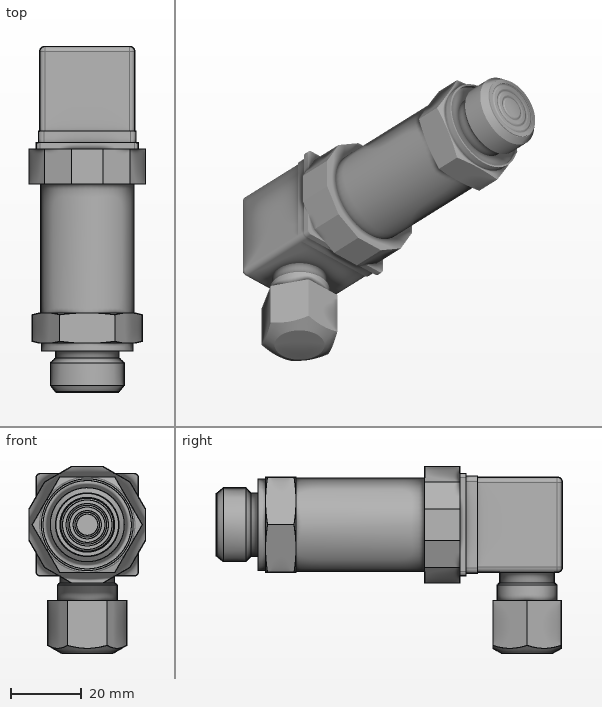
import cadquery as cq
import math


tip_dia = 18.0
tip_rim_dia = 17.75
tip_rim_length = 0.3
thread_dia = 20.95
thread_chamfer_end = 2.1
thread_end = 8.4
undercut_dia = 18.0
undercut_start = 9.85
collar_start = 11.8
collar_dia = 26.0
collar_recess_dia = 25.0
collar_recess_depth = 1.0
diaphragm_dia = 15.5
corrugation_width = 1.0
corrugation_depth = 0.25
corrugation_mid_dias = (7.0, 11.0, 15.0)

hex_start = 14.0
hex_end = 22.6
hex_sides = 6
hex_flats = 27.0
hex_chamfer_angle = 15.0
body_dia = 26.5

nut_start = 59.0
nut_end = 69.0
nut_flats = 33.0
nut_sides = 12

flange_end = 70.75
flange_size = 29.0
flange_corner = 1.2
lid_end = 74.0
lid_size = 27.6
housing_end = 98.0
housing_size = 27.0
housing_fillet = 1.5

gland_y = 88.0
gland_neck_dia = 15.5
gland_ring_dia = 17.0
gland_ring_top = -16.5
gland_ring_chamfer = 0.6
gland_nut_top = -21.4
gland_bottom = -36.5
gland_nut_flats = 19.4
gland_tip_dia = 14.2
gland_chamfer_angle = 30.0


def across_corners(flats, sides):
    return flats / math.cos(math.pi / sides)


def turned(profile):
    """Solid of revolution about Y from (radius, y) points."""
    return cq.Workplane("XY").polyline(profile).close().revolve(360, (0, 0), (0, 1))


def square_block(size, start, end):
    """Square block centred on the axis between two Y positions."""
    return (
        cq.Workplane("XZ", origin=(0, start, 0))
        .rect(size, size)
        .extrude(start - end)
    )


def tip_and_body():
    return turned([
        (0, 0),
        (tip_rim_dia / 2, 0),
        (tip_rim_dia / 2, tip_rim_length),
        (tip_dia / 2, tip_rim_length),
        (thread_dia / 2, thread_chamfer_end),
        (thread_dia / 2, thread_end),
        (undercut_dia / 2, undercut_start),
        (undercut_dia / 2, collar_start + collar_recess_depth),
        (collar_recess_dia / 2, collar_start + collar_recess_depth),
        (collar_recess_dia / 2, collar_start),
        (collar_dia / 2, collar_start),
        (collar_dia / 2, hex_start),
        (body_dia / 2, hex_start),
        (body_dia / 2, nut_start),
        (0, nut_start),
    ])


def corrugation(mid_dia):
    """V-shaped ring that cuts one diaphragm groove, limited to the diaphragm."""
    mid = mid_dia / 2
    inner = mid - corrugation_width / 2
    outer = mid + corrugation_width / 2
    ring = turned([(inner, 0), (outer, 0), (mid, corrugation_depth)])
    diaphragm = turned([
        (0, 0),
        (diaphragm_dia / 2, 0),
        (diaphragm_dia / 2, corrugation_depth),
        (0, corrugation_depth),
    ])
    return ring.intersect(diaphragm)


def wrench_hex():
    corners = across_corners(hex_flats, hex_sides)
    chamfer = (corners - hex_flats) / 2 * math.tan(math.radians(hex_chamfer_angle))
    prism = (
        cq.Workplane("XZ", origin=(0, hex_start, 0))
        .polygon(hex_sides, corners)
        .extrude(hex_start - hex_end)
    )
    envelope = turned([
        (0, hex_start),
        (hex_flats / 2, hex_start),
        (corners / 2, hex_start + chamfer),
        (corners / 2, hex_end - chamfer),
        (hex_flats / 2, hex_end),
        (0, hex_end),
    ])
    return prism.intersect(envelope)


def clamping_nut():
    return (
        cq.Workplane("XZ", origin=(0, nut_start, 0))
        .transformed(rotate=(0, 0, 180 / nut_sides))
        .polygon(nut_sides, across_corners(nut_flats, nut_sides))
        .extrude(nut_start - nut_end)
    )


def plug():
    flange = square_block(flange_size, nut_end, flange_end).edges("|Y").fillet(flange_corner)
    lid = square_block(lid_size, flange_end, lid_end).edges("|Y").fillet(housing_fillet)
    housing = (
        square_block(housing_size, lid_end, housing_end)
        .edges("|Y or >Y")
        .fillet(housing_fillet)
    )
    return flange.union(lid).union(housing)


def cylinder_down(dia, top, bottom):
    """Vertical cylinder on the gland axis."""
    return cq.Workplane("XY", origin=(0, gland_y, bottom)).circle(dia / 2).extrude(top - bottom)


def cable_gland():
    neck = cylinder_down(gland_neck_dia, 0, gland_ring_top)
    ring = (
        cylinder_down(gland_ring_dia, gland_ring_top, gland_nut_top)
        .faces(">Z")
        .chamfer(gland_ring_chamfer)
    )
    corners = across_corners(gland_nut_flats, hex_sides)
    chamfer = (corners - gland_tip_dia) / 2 * math.tan(math.radians(gland_chamfer_angle))
    prism = (
        cq.Workplane("XY", origin=(0, gland_y, gland_bottom))
        .polygon(hex_sides, corners)
        .extrude(gland_nut_top - gland_bottom)
    )
    envelope = (
        cq.Workplane("XZ")
        .polyline([
            (0, gland_bottom),
            (gland_tip_dia / 2, gland_bottom),
            (corners / 2, gland_bottom + chamfer),
            (corners / 2, gland_nut_top),
            (0, gland_nut_top),
        ])
        .close()
        .revolve(360, (0, 0), (0, 1))
        .translate((0, gland_y, 0))
    )
    return neck.union(ring).union(prism.intersect(envelope))


result = (
    tip_and_body()
    .union(wrench_hex())
    .union(clamping_nut())
    .union(plug())
    .union(cable_gland())
)
for mid_dia in corrugation_mid_dias:
    result = result.cut(corrugation(mid_dia))